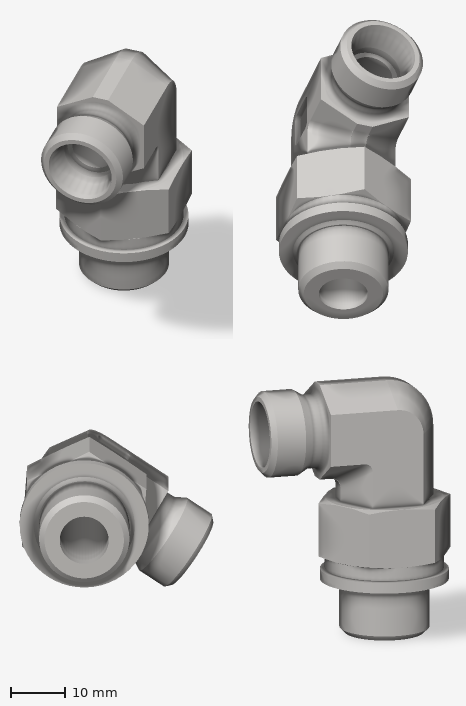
import cadquery as cq
import math

overall_height = 47.95
match_tolerance = 0.0005
bore_tip_angle = math.radians(31)

body_flats = 17.0
corner_reach = 8.95
bend_height = overall_height - corner_reach
inner_bend_fillet = 1.77
body_face = 12.95

port_end = 23.98
port_diameter = 16.0
port_chamfer = 0.95
neck_diameter = 13.7
neck_face_fillet = 1.0
neck_cone_fillet = 0.85
thread_start = 17.55
neck_cone_angle = math.radians(30)
port_bore = 8.0
tube_socket = 10.0
tube_socket_depth = 7.0
cone_mouth = 12.3
cone_half_angle = math.radians(12)

stud_diameter = 16.65
stud_chamfer = 1.0
stud_bore = 9.0

ring_bottom = 10.0
ring_thickness = 2.0
ring_diameter = 23.8
ring_top = ring_bottom + ring_thickness
lip_height = 0.58
lip_end_diameter = 17.25
lip_root_diameter = 18.6

nut_flats = 22.0
nut_top = 25.6
nut_hex_height = 11.05
nut_hex_bottom = nut_top - nut_hex_height
nut_bottom = 12.2
nut_bevel_diameter = 21.8
nut_bevel_angle = math.radians(15)
nut_mouth_diameter = 17.5

recess_size = 7.15
recess_corner = 1.0
recess_depth = 1.0
recess_y = -1.0
recess_z = 38.05


def section_points(top_only=False):
    """Hexagon with its two pointed corners cut flat, as (across, along) points."""
    half_width = body_flats / 2
    shoulder = half_width / math.sqrt(3)
    half_flat = (2 * shoulder - corner_reach) * math.sqrt(3)
    upper = [(half_width, shoulder), (half_flat, corner_reach),
             (-half_flat, corner_reach), (-half_width, shoulder)]
    if top_only:
        return [(half_width, 0)] + upper + [(-half_width, 0)]
    return upper + [(-across, -along) for across, along in upper]


def on_inner_miter(edge):
    """True for the edges where the two legs meet inside the bend."""
    center = edge.Center()
    return center.y < 0 and abs(center.z - bend_height - center.y) < match_tolerance


def make_elbow_block():
    """Two hexagonal legs, the rounded outer bend and the filleted inner corner."""
    upright = (cq.Workplane("XY").workplane(offset=nut_top)
               .polyline(section_points()).close().extrude(bend_height - nut_top))
    arm = (cq.Workplane("XZ", origin=(0, 0, bend_height))
           .polyline(section_points()).close().extrude(body_face))
    bend = (cq.Workplane("XZ", origin=(0, 0, bend_height))
            .polyline(section_points(top_only=True)).close()
            .revolve(90, (0, 0, 0), (-1, 0, 0)))
    block = upright.union(arm).union(bend)
    return block.edges().filter(on_inner_miter).fillet(inner_bend_fillet)


def place_on_port(shape):
    """Turn a shape made around +Z so that it runs along -Y at the port height."""
    return shape.rotate((0, 0, 0), (1, 0, 0), 90).translate((0, 0, bend_height))


def make_port():
    """Relieved neck, conical thread runout and chamfered thread cylinder."""
    neck = neck_diameter / 2
    outer = port_diameter / 2
    cone_tangent = neck_cone_fillet * math.tan(neck_cone_angle / 2)
    cone_foot = thread_start - (outer - neck) / math.tan(neck_cone_angle)
    cone_fillet_end = (neck + cone_tangent * math.sin(neck_cone_angle),
                       cone_foot + cone_tangent * math.cos(neck_cone_angle))
    profile = (cq.Workplane("XZ")
               .moveTo(0, body_face)
               .lineTo(neck + neck_face_fillet, body_face)
               .radiusArc((neck, body_face + neck_face_fillet), neck_face_fillet)
               .lineTo(neck, cone_foot - cone_tangent)
               .radiusArc(cone_fillet_end, neck_cone_fillet)
               .lineTo(outer, thread_start)
               .lineTo(outer, port_end - port_chamfer)
               .lineTo(outer - port_chamfer, port_end)
               .lineTo(0, port_end)
               .close())
    return place_on_port(profile.revolve(360, (0, 0, 0), (0, 1, 0)))


def make_port_bore():
    """Tapered mouth, tube socket and drilled bore that ends in a drill point."""
    bore = port_bore / 2
    socket = tube_socket / 2
    mouth = cone_mouth / 2
    socket_floor = port_end - tube_socket_depth
    cone_floor = port_end - (mouth - socket) / math.tan(cone_half_angle)
    profile = (cq.Workplane("YZ")
               .moveTo(0, -bore * math.tan(bore_tip_angle))
               .lineTo(bore, 0)
               .lineTo(bore, socket_floor)
               .lineTo(socket, socket_floor)
               .lineTo(socket, cone_floor)
               .lineTo(mouth, port_end)
               .lineTo(0, port_end)
               .close())
    return place_on_port(profile.revolve(360, (0, 0, 0), (0, 1, 0)))


def make_stud():
    """Threaded stud with a chamfered lower end."""
    return (cq.Workplane("XY").circle(stud_diameter / 2).extrude(nut_top)
            .faces("<Z").chamfer(stud_chamfer))


def make_stud_bore():
    """Drilled bore up to the port axis, ending in a drill point."""
    bore = stud_bore / 2
    return (cq.Workplane("YZ")
            .polyline([(0, 0), (bore, 0), (bore, bend_height),
                       (0, bend_height + bore * math.tan(bore_tip_angle))])
            .close().revolve(360, (0, 0, 0), (0, 1, 0)))


def make_side_recess():
    """Rounded square pocket cut into the -X flat."""
    return (cq.Workplane("YZ", origin=(-body_flats / 2, recess_y, recess_z))
            .rect(recess_size, recess_size).extrude(recess_depth)
            .edges("|X").fillet(recess_corner))


def make_elbow():
    solid = make_elbow_block().union(make_port()).union(make_stud())
    return solid.cut(make_port_bore()).cut(make_stud_bore()).cut(make_side_recess())


def make_lock_nut():
    """Hexagon beveled at both ends, with a round collar below and a threaded hole."""
    corner = nut_flats / math.sqrt(3)
    bevel = nut_bevel_diameter / 2
    bevel_drop = (corner - bevel) * math.tan(nut_bevel_angle)
    hexagon = (cq.Workplane("XY").workplane(offset=nut_hex_bottom)
               .polygon(6, 2 * corner).extrude(nut_hex_height)
               .rotate((0, 0, 0), (0, 0, 1), 30))
    bevel_envelope = (cq.Workplane("XZ")
                      .polyline([(0, nut_hex_bottom), (bevel, nut_hex_bottom),
                                 (corner, nut_hex_bottom + bevel_drop),
                                 (corner, nut_top - bevel_drop), (bevel, nut_top), (0, nut_top)])
                      .close().revolve(360, (0, 0, 0), (0, 1, 0)))
    collar = (cq.Workplane("XY").workplane(offset=nut_bottom)
              .circle(nut_flats / 2).extrude(nut_hex_bottom - nut_bottom))
    hole = (cq.Workplane("XY").workplane(offset=nut_bottom)
            .circle(stud_diameter / 2).extrude(nut_top - nut_bottom))
    mouth_chamfer = (nut_mouth_diameter - stud_diameter) / 2
    mouth = (cq.Workplane("XY").workplane(offset=nut_top)
             .circle(nut_mouth_diameter / 2).extrude(-mouth_chamfer, taper=45))
    return hexagon.intersect(bevel_envelope).union(collar).cut(hole).cut(mouth)


def make_sealing_ring():
    """Flat ring with a tapered lip on its lower side."""
    lip_bottom = ring_bottom - lip_height
    return (cq.Workplane("XZ")
            .polyline([(stud_diameter / 2, lip_bottom), (lip_end_diameter / 2, lip_bottom),
                       (lip_root_diameter / 2, ring_bottom), (ring_diameter / 2, ring_bottom),
                       (ring_diameter / 2, ring_top), (stud_diameter / 2, ring_top)])
            .close().revolve(360, (0, 0, 0), (0, 1, 0)))


elbow = make_elbow()
lock_nut = make_lock_nut()
sealing_ring = make_sealing_ring()

result = cq.Compound.makeCompound([body.solids().val() for body in (elbow, lock_nut, sealing_ring)])